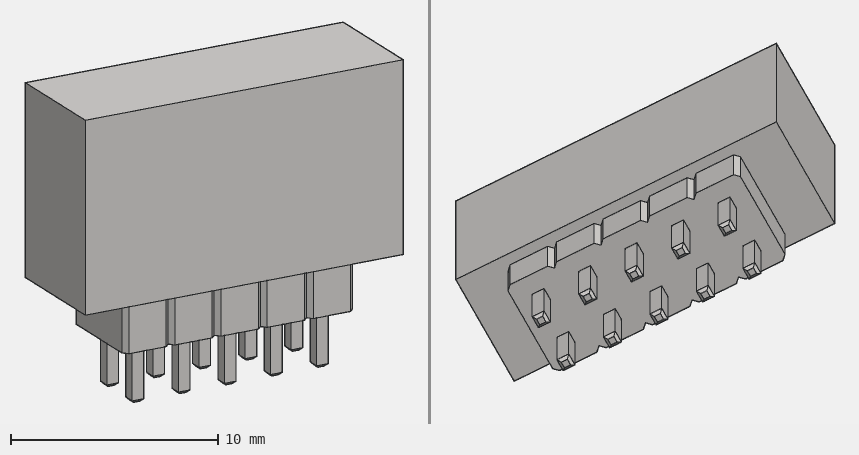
import cadquery as cq

HOUSING_WIDTH = 6.0
HOUSING_LENGTH = 17.5
HOUSING_HEIGHT = 10.01

PITCH = 2.54
COLUMNS = 2
ROWS = 5
HEADER_WIDTH = COLUMNS * PITCH
HEADER_HEIGHT = 2.52
HEADER_CENTRE_X = 0.07
HEADER_CENTRE_Y = -0.04
CORNER_CHAMFER = 0.25

PIN_SIDE = 0.65
PIN_LENGTH = 3.01
TIP_CHAMFER = 0.15

GAP = 0.05

HEADER_BOTTOM = PIN_LENGTH
HOUSING_BOTTOM = HEADER_BOTTOM + HEADER_HEIGHT + GAP


def pitch_positions(count, centre):
    """Places along one axis, one pitch apart and centred on the given place."""
    return [centre + (i - (count - 1) / 2) * PITCH for i in range(count)]


def make_housing():
    """The plain block above the header."""
    return (
        cq.Workplane("XY", origin=(0, 0, HOUSING_BOTTOM))
        .rect(HOUSING_WIDTH, HOUSING_LENGTH)
        .extrude(HOUSING_HEIGHT)
    )


def make_insulator_row(row_y):
    """One row of the insulator; its chamfered corners form V notches between rows."""
    return (
        cq.Workplane("XY", origin=(HEADER_CENTRE_X, row_y, HEADER_BOTTOM))
        .rect(HEADER_WIDTH, PITCH)
        .extrude(HEADER_HEIGHT)
        .edges("|Z")
        .chamfer(CORNER_CHAMFER)
    )


def make_pin(pin_x, pin_y):
    """A square pin below the insulator, chamfered at its lower end."""
    return (
        cq.Workplane("XY", origin=(pin_x, pin_y, 0))
        .rect(PIN_SIDE, PIN_SIDE)
        .extrude(PIN_LENGTH)
        .faces("<Z")
        .chamfer(TIP_CHAMFER)
    )


def make_header():
    """The insulator rows and their pins, joined into one solid."""
    header = cq.Workplane("XY")
    for row_y in pitch_positions(ROWS, HEADER_CENTRE_Y):
        header = header.union(make_insulator_row(row_y))
        for pin_x in pitch_positions(COLUMNS, HEADER_CENTRE_X):
            header = header.union(make_pin(pin_x, row_y))
    return header.solids()


housing = make_housing()
header = make_header()

result = cq.Compound.makeCompound([housing.val(), header.val()])